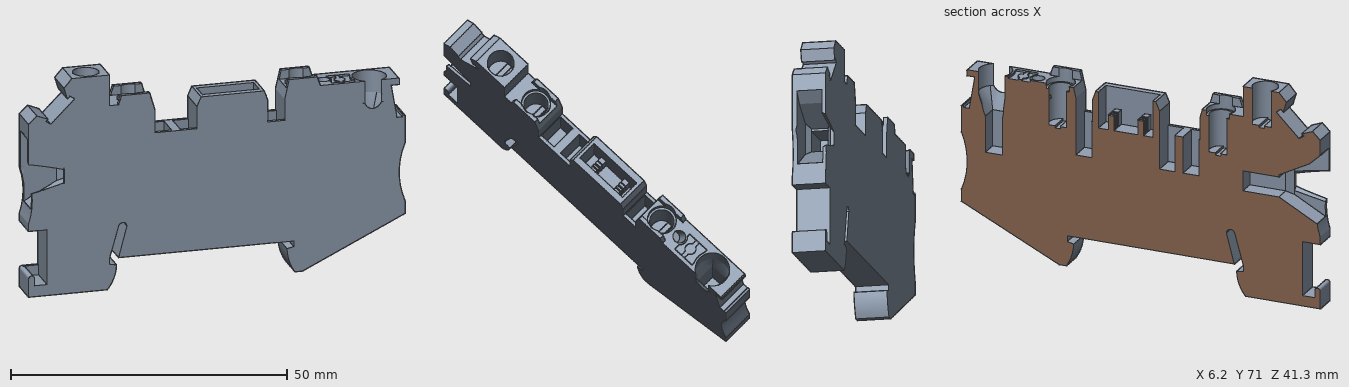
import cadquery as cq
import math

thickness = 6.2
length = 71.0
height = 41.25

rail_z = 5.95
step_z = 12.65
base_z = 29.3
deck_z = 35.35
wall_z = 37.05
overlap = 0.7

front_gap = (23.85, 31.75)
rear_gap = (45.1, 48.3)
pocket_ledge = 0.15
front_guard_top = (17.55, 22.85)
rear_guard_top = (49.1, 54.45)
tower_rear = 15.3
tower_front = 8.2
notch_depth = 3.5
notch_floor_z = 4.05
notch_lip = 0.6
lip_bulge = notch_lip * (1 - math.sqrt(0.5))

top_entry_x = 3.5
top_entry_y = 65.0
top_entry_radius = 3.1

test_hole_x = 3.2
test_hole_y = 56.4
test_hole_radius = 1.15

screw_x = 3.1
screw_radius = 2.2
screw_rim_radius = 2.6
guard_channel = (0.85, 5.4)
screw_slot = 1.0
bore_depth = 7.1
slot_depth = 0.4


def block(x_range, y_range, z_range):
    """Box spanning three (low, high) ranges."""
    spans = [high - low for low, high in (x_range, y_range, z_range)]
    corner = (x_range[0], y_range[0], z_range[0])
    return cq.Workplane("XY").box(*spans, centered=False).translate(corner)


def upright_cylinder(x, y, radius, bottom, top):
    """Vertical cylinder between two heights."""
    return cq.Workplane("XY", origin=(x, y, bottom)).circle(radius).extrude(top - bottom)


def housing():
    """Side profile, drawn as (Y, Z) from the front bottom corner and extruded along X."""
    outline = (
        cq.Workplane("YZ")
        .moveTo(0, 0)
        .lineTo(0, notch_floor_z - notch_lip)
        .threePointArc((lip_bulge, notch_floor_z - lip_bulge), (notch_lip, notch_floor_z))
        .lineTo(notch_depth, notch_floor_z)
        .lineTo(notch_depth, step_z)
        .lineTo(0, step_z)
        .lineTo(0, 14.1)
        .threePointArc((0.7, 18.5), (0, 22.9))
        .lineTo(0, 33.2)
        .lineTo(1.55, 34.7)
        .lineTo(3.7, 33.9)
        .lineTo(3.3, 33.5)
        .lineTo(4.2, 32.9)
        .lineTo(8.65, 37.3)
        .lineTo(7.8, 37.9)
        .lineTo(7.3, 37.4)
        .lineTo(6.7, 39.55)
        .lineTo(tower_front, height)
        .lineTo(tower_rear, height)
        .lineTo(tower_rear, deck_z)
        .lineTo(17.0, deck_z)
        .lineTo(front_guard_top[0], wall_z)
        .lineTo(front_guard_top[1], wall_z)
        .lineTo(front_gap[0], 33.65)
        .lineTo(front_gap[0], base_z)
        .lineTo(front_gap[1], base_z)
        .lineTo(front_gap[1], 33.6)
        .lineTo(32.5, deck_z)
        .lineTo(44.45, deck_z)
        .lineTo(rear_gap[0], 33.6)
        .lineTo(rear_gap[0], base_z)
        .lineTo(rear_gap[1], base_z)
        .lineTo(rear_gap[1], 33.4)
        .lineTo(rear_guard_top[0], wall_z)
        .lineTo(rear_guard_top[1], wall_z)
        .lineTo(55.0, deck_z)
        .lineTo(69.7, deck_z)
        .lineTo(69.9, 35.15)
        .lineTo(69.9, 34.1)
        .lineTo(68.4, 34.1)
        .lineTo(69.45, 27.8)
        .lineTo(70.4, 27.8)
        .lineTo(70.6, 28.2)
        .lineTo(length, 28.05)
        .lineTo(length, 22.85)
        .threePointArc((69.85, 17.25), (length, 11.65))
        .lineTo(length, 9.2)
        .lineTo(51.6, 0)
        .lineTo(50.2, 0)
        .threePointArc((49.2, 2.0), (48.7, 4.6))
        .lineTo(50.0, 4.9)
        .lineTo(50.0, rail_z)
        .lineTo(17.0, rail_z)
        .lineTo(18.5, 11.9)
        .threePointArc((17.8, step_z), (17.0, 12.1))
        .lineTo(15.3, rail_z)
        .lineTo(15.3, 4.9)
        .lineTo(16.6, 4.6)
        .threePointArc((16.05, 2.0), (14.85, 0))
        .close()
    )
    return outline.extrude(thickness)


def screw_well(y, rim_z, head_x=screw_x, radius=screw_radius):
    """Blind vertical bore whose floor is a slotted screw head."""
    head_z = rim_z - bore_depth
    well = upright_cylinder(head_x, y, radius, head_z, rim_z + overlap)
    slot = block(
        (head_x - radius, head_x + radius),
        (y - screw_slot / 2, y + screw_slot / 2),
        (head_z - slot_depth, head_z),
    )
    head = upright_cylinder(head_x, y, radius, head_z - slot_depth, head_z)
    return well.union(slot.intersect(head))


def guarded_screw(y, channel_range):
    """Open channel between two guard walls with a stepped screw well in its floor."""
    rim_depth = 1.0
    channel = block(guard_channel, channel_range, (deck_z, wall_z + overlap))
    rim = upright_cylinder(screw_x, y, screw_rim_radius, deck_z - rim_depth, wall_z + overlap)
    return channel.union(rim).union(screw_well(y, deck_z - rim_depth))


def top_entry():
    """Round mouth, funnel and square socket; the mouth breaks out through the +X face."""
    mouth_depth = 4.25
    funnel_depth = 4.25
    socket_depth = 7.1
    socket_x = (1.3, 5.0)
    socket_y = (62.9, 66.2)
    mouth_z = deck_z - mouth_depth
    funnel_z = mouth_z - funnel_depth
    socket_shift = (sum(socket_x) / 2 - top_entry_x, sum(socket_y) / 2 - top_entry_y)
    mouth = upright_cylinder(top_entry_x, top_entry_y, top_entry_radius, mouth_z, deck_z + overlap)
    funnel = (
        cq.Workplane("XY", origin=(top_entry_x, top_entry_y, mouth_z))
        .circle(top_entry_radius)
        .workplane(offset=-funnel_depth)
        .center(*socket_shift)
        .rect(socket_x[1] - socket_x[0], socket_y[1] - socket_y[0])
        .loft()
    )
    socket = block(socket_x, socket_y, (funnel_z - socket_depth, funnel_z))
    return mouth.union(funnel).union(socket)


def rectangle_at(y, x_range, z_range):
    """Closed rectangular wire in the plane across the length at y."""
    corners = [
        (x_range[0], y, z_range[0]),
        (x_range[1], y, z_range[0]),
        (x_range[1], y, z_range[1]),
        (x_range[0], y, z_range[1]),
    ]
    return cq.Wire.makePolygon([cq.Vector(*corner) for corner in corners], close=True)


def front_entry():
    """Tapering window in the front end that narrows to a square socket, widened by a cone."""
    window_x = (0.85, 5.55)
    window_depth = 6.75
    funnel_depth = 8.2
    funnel_end_z = (20.7, 25.0)
    floor_start = (0.65, 16.7)
    ceiling_start = (2.1, 28.2)
    window_end_z = [
        start_z + (end_z - start_z) * (window_depth - start_y) / (funnel_depth - start_y)
        for (start_y, start_z), end_z in zip((floor_start, ceiling_start), funnel_end_z)
    ]
    cone_x = 4.2
    cone_z = 22.65
    mouth_radius = 3.5
    cone_end_radius = 2.35
    socket_x = (1.7, 4.75)
    socket_z = (20.7, 24.6)
    socket_depth = 7.1
    window = (
        cq.Workplane("YZ", origin=(window_x[0], 0, 0))
        .moveTo(-overlap, 30.2)
        .lineTo(0, 30.2)
        .lineTo(*ceiling_start)
        .lineTo(window_depth, window_end_z[1])
        .lineTo(window_depth, window_end_z[0])
        .lineTo(*floor_start)
        .lineTo(-overlap, floor_start[1])
        .close()
        .extrude(window_x[1] - window_x[0])
    )
    funnel = cq.Workplane(
        cq.Solid.makeLoft(
            [
                rectangle_at(window_depth, window_x, window_end_z),
                rectangle_at(funnel_depth, socket_x, funnel_end_z),
            ],
            True,
        )
    )
    cone = cq.Workplane(
        cq.Solid.makeCone(
            mouth_radius,
            cone_end_radius,
            window_depth,
            pnt=cq.Vector(cone_x, 0, cone_z),
            dir=cq.Vector(0, 1, 0),
        )
    )
    socket = block(socket_x, (funnel_depth, funnel_depth + socket_depth), socket_z)
    return window.union(funnel).union(cone).union(socket)


def test_hole():
    """Small round blind hole that leans toward the front as it goes down."""
    lean = math.radians(20)
    hole_depth = 4.25
    axis = cq.Vector(0, -math.sin(lean), -math.cos(lean))
    mouth = cq.Vector(test_hole_x, test_hole_y, deck_z)
    return cq.Workplane(
        cq.Solid.makeCylinder(test_hole_radius, hole_depth + overlap, pnt=mouth - axis * overlap, dir=axis)
    )


def marker_recess():
    """Shallow rectangle that leaves a low bar with a round pad standing on its floor.

    Collars around the neighbouring round holes stay at deck level.
    """
    recess_x = (1.5, 5.4)
    recess_depth = 0.35
    bar_height = 0.2
    bar_y = (59.0, 59.8)
    pad_x = 3.4
    pad_radius = 1.0
    entry_collar_radius = top_entry_radius + 0.4
    hole_collar_radius = test_hole_radius + 0.35
    floor_z = deck_z - recess_depth
    recess = block(recess_x, (57.4, 61.7), (floor_z, deck_z))
    bar = block(recess_x, bar_y, (floor_z, floor_z + bar_height))
    pad = upright_cylinder(pad_x, sum(bar_y) / 2, pad_radius, floor_z, floor_z + bar_height)
    entry_collar = upright_cylinder(top_entry_x, top_entry_y, entry_collar_radius, floor_z, deck_z)
    hole_collar = upright_cylinder(test_hole_x, test_hole_y, hole_collar_radius, floor_z, deck_z)
    return recess.cut(bar).cut(pad).cut(entry_collar).cut(hole_collar)


def bridge_pocket():
    """Rectangular pocket for a jumper, with two rows of contact blades on its floor."""
    pocket_x = (1.3, 5.0)
    pocket_depth = 7.1
    blade_height = 2.85
    blade_thickness = 1.2
    blade_spans = ((pocket_x[0], 2.2), (2.35, 2.85), (3.1, 3.5), (3.7, pocket_x[1]))
    floor_z = deck_z - pocket_depth
    pocket = block(pocket_x, (33.1, 43.8), (floor_z, deck_z))
    for blade_y in (34.9, 40.75):
        for blade_x in blade_spans:
            blade = block(blade_x, (blade_y, blade_y + blade_thickness), (floor_z, floor_z + blade_height))
            pocket = pocket.cut(blade)
    return pocket


def gap_pocket(y_range):
    """Rectangular pocket sunk into the floor of a cross gap."""
    pocket_depth = 7.1
    return block((0.65, 5.55), y_range, (base_z - pocket_depth, base_z))


def foot_relief():
    """Hollow behind the front lip; it leaves a thin wall on the flat side and a half-round lip."""
    wall = 0.65
    floor_z = 2.1
    lip_center_z = notch_floor_z - notch_lip
    return (
        cq.Workplane("YZ", origin=(wall, 0, 0))
        .moveTo(notch_lip, notch_floor_z)
        .radiusArc((2 * notch_lip, lip_center_z), notch_lip)
        .lineTo(2 * notch_lip, floor_z)
        .lineTo(notch_depth, floor_z)
        .lineTo(notch_depth, notch_floor_z)
        .close()
        .extrude(thickness - wall)
    )


cuts = [
    foot_relief(),
    guarded_screw(20.2, (tower_rear, front_gap[0])),
    guarded_screw(51.9, (rear_gap[1], 55.7)),
    screw_well(11.6, height, head_x=3.35, radius=2.4),
    top_entry(),
    front_entry(),
    test_hole(),
    marker_recess(),
    bridge_pocket(),
    gap_pocket((front_gap[0] + pocket_ledge, 27.1)),
    gap_pocket((28.75, front_gap[1])),
    gap_pocket((rear_gap[0] + pocket_ledge, rear_gap[1])),
]

result = housing()
for cut in cuts:
    result = result.cut(cut)